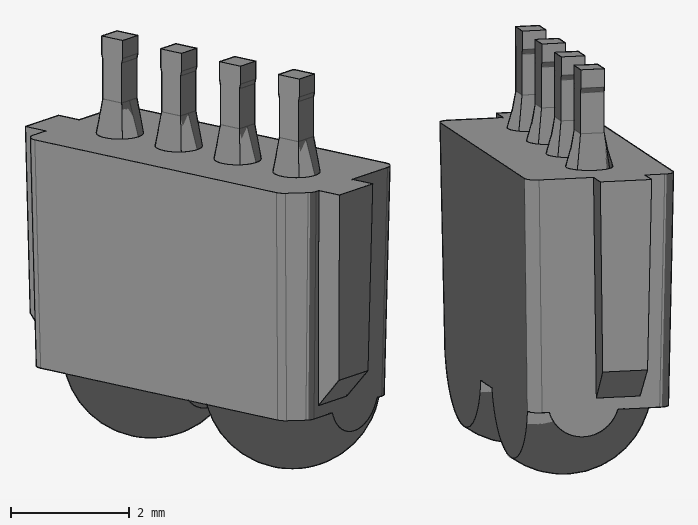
import cadquery as cq
import math

body_length = 5.91
body_depth = 2.6
body_height = 4.005
draft_angle = 1.0
corner_radius = 0.2
corner_chamfer = 0.39

tab_span = 6.8
tab_width = 0.895
tab_y = -0.3
tab_slope_start = 3.27
tab_slope_end = 3.795

lens_radius = 1.5
lens_spacing = 3.05
lens_y = 0.3
lens_gap = 0.505
total_height = 7.0

pin_count = 4
pin_pitch = 1.275
pin_y = -0.055
pin_height = 1.7
pin_width = 0.41
pin_base_diameter = 0.8
pin_base_height = 0.6
tip_width = 0.455
tip_height = 0.315
tip_flare_height = 0.085

dome_depth = total_height - pin_height
lens_z = lens_radius - dome_depth


def make_drafted_block():
    """Drafted housing walls, carried down to the bottom of the domes."""
    half_length = body_length / 2
    half_depth = body_depth / 2
    block = (
        cq.Workplane("XY")
        .moveTo(-half_length, half_depth)
        .lineTo(half_length, half_depth)
        .lineTo(half_length, corner_chamfer - half_depth)
        .lineTo(half_length - corner_chamfer, -half_depth)
        .lineTo(-half_length, -half_depth)
        .close()
        .extrude(-dome_depth, taper=draft_angle)
    )
    return block.edges("not(<Z or >Z)").fillet(corner_radius)


def make_slab(top, bottom):
    """Oversized horizontal slab used to keep one range of heights."""
    return cq.Workplane("XY").workplane(offset=bottom).rect(tab_span, tab_span).extrude(top - bottom)


def make_tabs():
    """One drafted bar spanning both sides, its lower ends cut sloping inward."""
    bar = (
        cq.Workplane("XY")
        .center(0, tab_y)
        .rect(tab_span, tab_width)
        .extrude(-tab_slope_end, taper=draft_angle)
    )
    draft = math.tan(math.radians(draft_angle))
    outer_x = tab_span / 2 - tab_slope_start * draft
    inner_x = body_length / 2 - tab_slope_end * draft
    envelope = (
        cq.Workplane("XZ")
        .polyline([
            (-tab_span / 2, 0),
            (tab_span / 2, 0),
            (outer_x, -tab_slope_start),
            (inner_x, -tab_slope_end),
            (-inner_x, -tab_slope_end),
            (-outer_x, -tab_slope_start),
        ])
        .close()
        .extrude(body_depth, both=True)
    )
    return bar.intersect(envelope)


def make_lenses(block):
    """Two spherical domes below the housing, with flat facing sides."""
    gap = cq.Workplane("XY").box(lens_gap, 2 * body_depth, 2 * total_height)
    zone = block.intersect(make_slab(-body_height, -dome_depth)).cut(gap)
    centers = [(-lens_spacing / 2, lens_y, lens_z), (lens_spacing / 2, lens_y, lens_z)]
    spheres = cq.Workplane("XY").pushPoints(centers).sphere(lens_radius)
    return zone.intersect(spheres)


def make_pin(x):
    """Round-to-square base, square shank and a tip slightly wider along X."""
    base = (
        cq.Workplane("XY")
        .center(x, pin_y)
        .circle(pin_base_diameter / 2)
        .workplane(offset=pin_base_height)
        .rect(pin_width, pin_width)
        .loft(combine=True)
    )
    tip_z = pin_height - tip_height
    flare_z = tip_z - tip_flare_height
    half_shank = pin_width / 2
    half_tip = tip_width / 2
    shank = (
        cq.Workplane("XZ", origin=(x, pin_y, 0))
        .polyline([
            (-half_shank, pin_base_height),
            (half_shank, pin_base_height),
            (half_shank, flare_z),
            (half_tip, tip_z),
            (half_tip, pin_height),
            (-half_tip, pin_height),
            (-half_tip, tip_z),
            (-half_shank, flare_z),
        ])
        .close()
        .extrude(pin_width / 2, both=True)
    )
    return base.union(shank)


drafted_block = make_drafted_block()
result = drafted_block.intersect(make_slab(0, -body_height))
result = result.union(make_tabs())
result = result.union(make_lenses(drafted_block))
for index in range(pin_count):
    pin_x = (index - (pin_count - 1) / 2) * pin_pitch
    result = result.union(make_pin(pin_x))